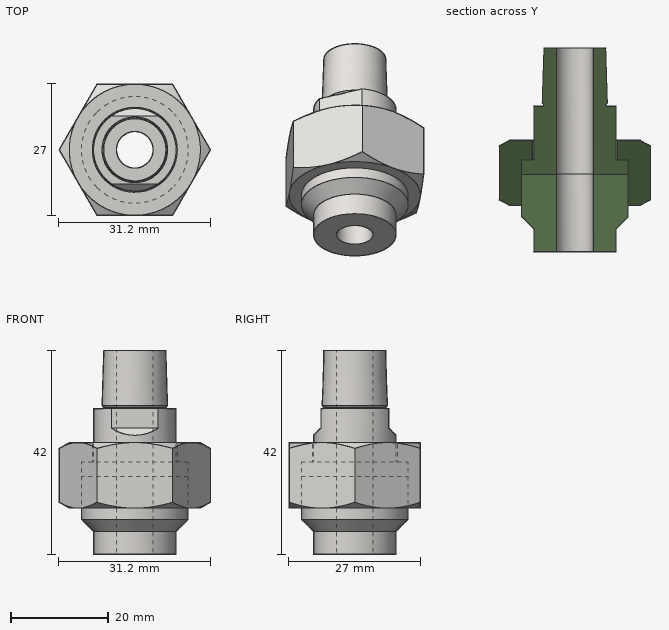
import cadquery as cq
import math


total_height = 42.0
bore_radius = 7.5 / 2
pipe_radius = 17.0 / 2
union_radius = 22.0 / 2

stub_top = 4.7
cone_top = stub_top + (union_radius - pipe_radius)
nut_bottom = 9.5
nut_height = 13.5
nut_top = nut_bottom + nut_height
seat_height = 16.0
flange_thickness = 3.0
flange_top = seat_height + flange_thickness
collar_top = 30.0

nut_across_flats = 27.0
nut_chamfer_angle = 30.0
collar_clearance = 0.25

thread_taper = 1 / 16
thread_top_radius = 12.8 / 2
groove_height = 0.65
groove_floor_height = 0.25
groove_floor_radius = 6.4
groove_base_radius = 6.6

wrench_across_flats = 14.0
wrench_flat_bottom = 26.0


def revolve_profile(points):
    """Solid of revolution about Z from (radius, height) points."""
    return cq.Workplane("XZ").polyline(points).close().revolve(360, (0, 0, 0), (0, 1, 0))


def make_weld_end():
    return revolve_profile([
        (bore_radius, 0),
        (pipe_radius, 0),
        (pipe_radius, stub_top),
        (union_radius, cone_top),
        (union_radius, seat_height),
        (bore_radius, seat_height),
    ])


def make_wrench_cutter(side):
    """Cutter for one flat with a 45 degree run-out; side is +1 or -1 along Y."""
    flat_y = wrench_across_flats / 2
    flat_depth = pipe_radius - flat_y
    profile = [
        (side * flat_y, collar_top),
        (side * flat_y, wrench_flat_bottom),
        (side * pipe_radius, wrench_flat_bottom - flat_depth),
        (side * pipe_radius, collar_top),
    ]
    return cq.Workplane("YZ").polyline(profile).close().extrude(pipe_radius, both=True)


def make_tailpiece():
    thread_bottom = collar_top + groove_height
    thread_length = total_height - thread_bottom
    thread_bottom_radius = thread_top_radius + thread_length * thread_taper / 2
    tailpiece = revolve_profile([
        (bore_radius, seat_height),
        (union_radius, seat_height),
        (union_radius, flange_top),
        (pipe_radius, flange_top),
        (pipe_radius, collar_top),
        (groove_base_radius, collar_top),
        (groove_floor_radius, collar_top + groove_floor_height),
        (thread_bottom_radius, thread_bottom),
        (thread_top_radius, total_height),
        (bore_radius, total_height),
    ])
    for side in (-1, 1):
        tailpiece = tailpiece.cut(make_wrench_cutter(side))
    return tailpiece


def make_nut():
    flat_radius = nut_across_flats / 2
    corner_radius = flat_radius / math.cos(math.radians(30))
    corner_drop = (corner_radius - flat_radius) * math.tan(math.radians(nut_chamfer_angle))
    hexagon = (
        cq.Workplane("XY")
        .workplane(offset=nut_bottom)
        .polygon(6, 2 * corner_radius)
        .extrude(nut_height)
    )
    envelope = revolve_profile([
        (union_radius, nut_bottom),
        (flat_radius, nut_bottom),
        (corner_radius, nut_bottom + corner_drop),
        (corner_radius, nut_top - corner_drop),
        (flat_radius, nut_top),
        (pipe_radius + collar_clearance, nut_top),
        (pipe_radius + collar_clearance, flange_top),
        (union_radius, flange_top),
    ])
    return hexagon.intersect(envelope)


weld_end = make_weld_end()
tailpiece = make_tailpiece()
nut = make_nut()

result = cq.Compound.makeCompound([weld_end.solids().val(), tailpiece.solids().val(), nut.solids().val()])